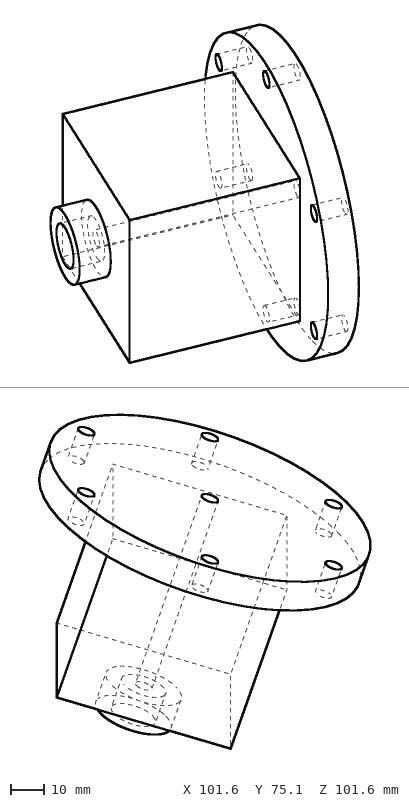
import cadquery as cq

flange_diameter = 101.6
flange_thickness = 10.0
block_side = 55.0
block_length = 55.0
boss_diameter = 24.0
boss_length = 10.1
bore_diameter = 14.0
bore_depth = boss_length
center_hole_diameter = 5.2
bolt_hole_diameter = 5.2
bolt_circle_radius = 45.1
bolt_count = 6
first_bolt_angle = 90.0

block_end = flange_thickness + block_length
total_length = block_end + boss_length


def section_at(distance):
    """Sketch plane facing -Y at a distance from the flange's outer face."""
    return cq.Workplane("XZ", origin=(0, -distance, 0))


def make_body():
    """Round flange, square block and round boss stacked along -Y."""
    flange = section_at(0).circle(flange_diameter / 2).extrude(flange_thickness)
    block = section_at(flange_thickness).rect(block_side, block_side).extrude(block_length)
    boss = section_at(block_end).circle(boss_diameter / 2).extrude(boss_length)
    return flange.union(block).union(boss)


def make_bolt_holes():
    """Ring of holes through the flange, with one at the top."""
    return (
        section_at(0)
        .polarArray(bolt_circle_radius, first_bolt_angle, 360, bolt_count)
        .circle(bolt_hole_diameter / 2)
        .extrude(flange_thickness)
    )


def make_center_bore():
    """Wide bore in the boss stepping down to a narrow hole through the part."""
    bore = section_at(total_length - bore_depth).circle(bore_diameter / 2).extrude(bore_depth)
    hole = section_at(0).circle(center_hole_diameter / 2).extrude(total_length)
    return bore.union(hole)


result = make_body().cut(make_bolt_holes()).cut(make_center_bore())